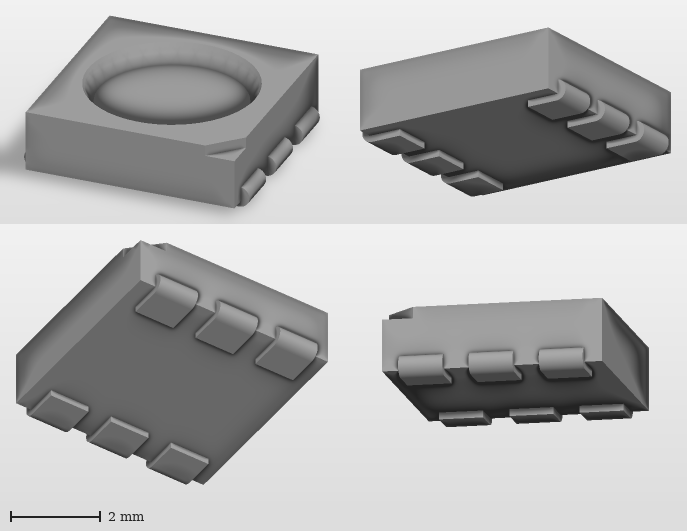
import cadquery as cq

total_length = 5.4
housing_side = 5.0
total_height = 1.6
standoff = 0.155
housing_height = total_height - standoff

cavity_top_diameter = 3.995
cavity_floor_diameter = 3.49
cavity_depth = 0.45

mark_leg = 0.7
mark_depth = 0.26

lead_width = 1.0
lead_pitch = 1.6
lead_height = 0.495
foot_length = 1.0
leads_per_side = 3

half_side = housing_side / 2


def make_cavity():
    """Truncated cone that opens upwards at the housing top."""
    return (
        cq.Workplane("XY", origin=(0, 0, total_height - cavity_depth))
        .circle(cavity_floor_diameter / 2)
        .workplane(offset=cavity_depth)
        .circle(cavity_top_diameter / 2)
        .loft(ruled=True)
    )


def make_corner_mark():
    """Triangular step at the +X, -Y top corner."""
    return (
        cq.Workplane("XY", origin=(half_side, -half_side, total_height - mark_depth))
        .polyline([(0, 0), (0, mark_leg), (-mark_leg, 0)])
        .close()
        .extrude(mark_depth)
    )


def make_housing():
    """Square block standing above the lead feet."""
    block = (
        cq.Workplane("XY", origin=(0, 0, standoff))
        .box(housing_side, housing_side, housing_height, centered=(True, True, False))
    )
    return block.cut(make_cavity()).cut(make_corner_mark())


def make_lead(side, y_center):
    """Lead with a round outer end against the wall and a flat foot under the housing."""
    radius = lead_height / 2
    outer_x = total_length / 2
    round_center_x = outer_x - radius
    foot_end_x = outer_x - foot_length
    wall_z = radius + (radius**2 - (half_side - round_center_x) ** 2) ** 0.5
    lead = (
        cq.Workplane("XZ", origin=(0, y_center + lead_width / 2, 0))
        .moveTo(foot_end_x, 0)
        .lineTo(round_center_x, 0)
        .threePointArc((outer_x, radius), (half_side, wall_z))
        .lineTo(half_side, standoff)
        .lineTo(foot_end_x, standoff)
        .close()
        .extrude(lead_width)
    )
    return lead if side > 0 else lead.mirror("YZ")


housing = make_housing()
leads = []
for side in (-1, 1):
    for index in range(leads_per_side):
        y_center = (index - (leads_per_side - 1) / 2) * lead_pitch
        leads.append(make_lead(side, y_center).val())

result = cq.Compound.makeCompound([housing.val(), *leads])